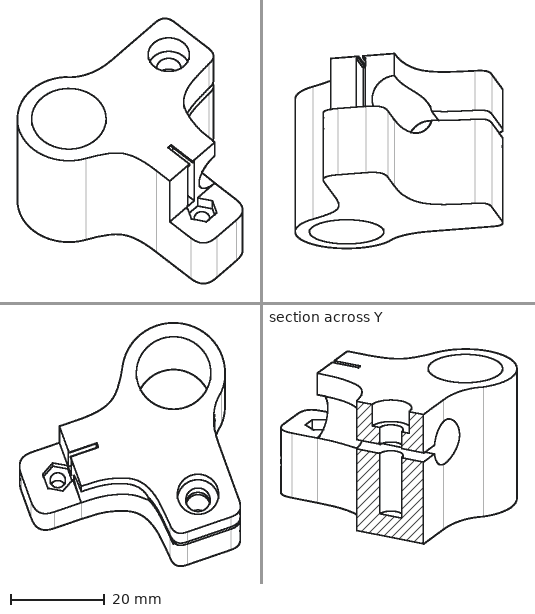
import cadquery as cq
import math

height = 30.0
boss_radius = 11.05
main_bore_radius = 7.95

clamp_left = -3.95
clamp_right = 11.85
clamp_end = 33.95
corner_size = 2.97

arm_front = 2.95
arm_back = 16.95
arm_end = 36.95
arm_corner_size = 3.95
step_x = 26.9
step_z = height / 2

left_blend_y = 7.45
front_blend_x = 9.8
left_blend = (-math.sqrt(boss_radius**2 - left_blend_y**2), left_blend_y)
front_blend = (front_blend_x, -math.sqrt(boss_radius**2 - front_blend_x**2))
left_wall_end = (clamp_left, 17.75)
front_wall_start = (23.0, arm_front)
back_wall_end = (step_x, arm_back)

clamp_bore_radius = 5.0
clamp_bore_y = 17.05
clamp_bore_z = 20.0
clamp_slit_width = 2.0

screw_x = (clamp_left + clamp_right) / 2
screw_y = 26.9
screw_radius = 2.6
screw_head_radius = 4.4
screw_head_depth = 5.0
screw_depth = 24.95

nut_x = 29.75
nut_y = (arm_front + arm_back) / 2
nut_across_flats = 2 * (nut_x - step_x)
nut_depth = 2.97
nut_hole_radius = 1.65
nut_hole_depth = 10.0

slot_start_x = 20.6
slot_width = 0.95
slot_lip_height = 0.5
slot_undercut_width = 2.0
slot_y = 9.55


def rounded_corner(outline, start, tip, end):
    """Add a soft corner from start to end, pulled toward the sharp tip at both ends."""
    pull = 0.7
    leave = [a + pull * (t - a) for a, t in zip(start, tip)]
    arrive = [b + pull * (t - b) for b, t in zip(end, tip)]
    return outline.bezier([start, leave, arrive, end])


def make_body():
    """Upright body: round boss blended into two arms."""
    outline = (
        cq.Workplane("XY")
        .moveTo(*left_blend)
        .threePointArc((0, -boss_radius), front_blend)
        .spline([(12.1, -1.25), (14.7, 1.35), (18.2, 2.6), front_wall_start], includeCurrent=True)
        .lineTo(arm_end - arm_corner_size, arm_front)
    )
    outline = rounded_corner(
        outline,
        (arm_end - arm_corner_size, arm_front),
        (arm_end, arm_front),
        (arm_end, arm_front + arm_corner_size),
    )
    outline = outline.lineTo(arm_end, arm_back - arm_corner_size)
    outline = rounded_corner(
        outline,
        (arm_end, arm_back - arm_corner_size),
        (arm_end, arm_back),
        (arm_end - arm_corner_size, arm_back),
    )
    outline = outline.lineTo(*back_wall_end).spline(
        [
            (21.65, 17.2),
            (18.2, 18.1),
            (15.05, 19.8),
            (13.05, 23.03),
            (12.35, 26.05),
            (clamp_right, clamp_end - corner_size),
        ],
        includeCurrent=True,
    )
    outline = rounded_corner(
        outline,
        (clamp_right, clamp_end - corner_size),
        (clamp_right, clamp_end),
        (clamp_right - corner_size, clamp_end),
    )
    outline = outline.lineTo(clamp_left + corner_size, clamp_end)
    outline = rounded_corner(
        outline,
        (clamp_left + corner_size, clamp_end),
        (clamp_left, clamp_end),
        (clamp_left, clamp_end - corner_size),
    )
    outline = outline.lineTo(*left_wall_end).spline(
        [(-4.2, 14.3), (-5.75, 10.1), left_blend], includeCurrent=True
    )
    return outline.close().extrude(height)


def box(x_range, y_range, z_range):
    """Box filling the given ranges."""
    sizes = [high - low for low, high in (x_range, y_range, z_range)]
    corner = (x_range[0], y_range[0], z_range[0])
    return cq.Workplane("XY").box(*sizes, centered=False).translate(corner)


def hole(x, y, top, radius, depth):
    """Upright cylinder reaching down from the given top."""
    return cq.Workplane("XY").workplane(offset=top - depth).center(x, y).circle(radius).extrude(depth)


def make_clamp_cut():
    """Bore along X and the slit that opens it toward +Y."""
    bore = (
        cq.Workplane("YZ")
        .workplane(offset=-boss_radius)
        .center(clamp_bore_y, clamp_bore_z)
        .circle(clamp_bore_radius)
        .extrude(boss_radius + arm_end)
    )
    slit = box(
        (-boss_radius, arm_end),
        (clamp_bore_y, clamp_end),
        (clamp_bore_z - clamp_slit_width / 2, clamp_bore_z + clamp_slit_width / 2),
    )
    return bore.union(slit)


def make_clamp_screw_cut():
    """Counterbored blind screw hole crossing the clamp slit."""
    shank = hole(screw_x, screw_y, height, screw_radius, screw_depth)
    head = hole(screw_x, screw_y, height, screw_head_radius, screw_head_depth)
    return shank.union(head)


def make_nut_cut():
    """Hexagonal nut pocket, corners toward +Y and -Y, with a blind hole below it."""
    across_corners = nut_across_flats / math.cos(math.pi / 6)
    pocket = (
        cq.Workplane("XY")
        .polygon(6, across_corners)
        .extrude(nut_depth)
        .rotate((0, 0, 0), (0, 0, 1), 90)
        .translate((nut_x, nut_y, step_z - nut_depth))
    )
    return pocket.union(hole(nut_x, nut_y, step_z, nut_hole_radius, nut_hole_depth))


def make_slot_cut():
    """Slot through the step wall, widened below a thin lip at the top face."""
    slot = cq.Workplane("XY")
    for width, top in ((slot_width, height), (slot_undercut_width, height - slot_lip_height)):
        y_range = (slot_y - width / 2, slot_y + width / 2)
        slot = slot.union(box((slot_start_x, step_x), y_range, (step_z, top)))
    return slot


step = box((step_x, arm_end), (arm_front, arm_back), (step_z, height))
main_bore = hole(0, 0, height, main_bore_radius, height)

result = make_body()
for cut in (main_bore, step, make_slot_cut(), make_clamp_cut(), make_clamp_screw_cut(), make_nut_cut()):
    result = result.cut(cut)